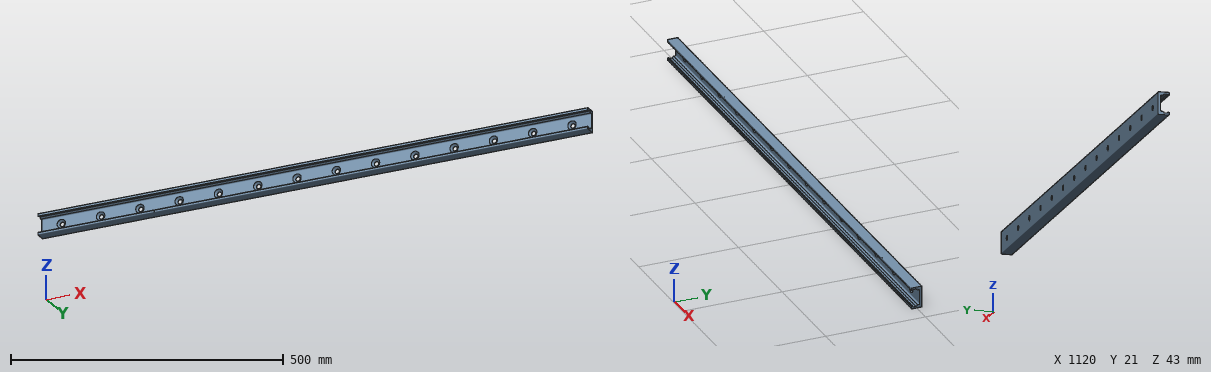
import cadquery as cq
import math

length = 1120.0
depth = 21.0
height = 43.0

web_thickness = 4.5
outer_fillet = 1.2
root_fillet = 2.0

lip_height = 5.2
lip_width = 2.0
front_slope_width = 2.1
raceway_height = 3.6
back_slope_width = 3.4
shoulder_height = 6.3
shoulder_width = 4.2

hole_diameter = 8.5
countersink_diameter = 17.0
countersink_angle = 90.0
hole_pitch = 80.0
hole_count = 14

selection_margin = 0.1

half_depth = depth / 2
half_height = height / 2
web_face = half_depth - web_thickness


def rail_body():
    """C section extruded along X, with a trapezoidal raceway inside each flange."""
    lip_z = half_height - lip_height
    raceway_z = half_height - raceway_height
    shoulder_z = half_height - shoulder_height
    raceway_front_y = -half_depth + lip_width
    raceway_back_y = web_face - shoulder_width
    upper_half = [
        (half_depth, half_height),
        (-half_depth, half_height),
        (-half_depth, lip_z),
        (raceway_front_y, lip_z),
        (raceway_front_y + front_slope_width, raceway_z),
        (raceway_back_y - back_slope_width, raceway_z),
        (raceway_back_y, shoulder_z),
        (web_face, shoulder_z),
    ]
    lower_half = [(y, -z) for y, z in reversed(upper_half)]
    section = cq.Workplane("YZ").polyline(upper_half + lower_half).close()
    body = section.extrude(length / 2, both=True)
    root_corners = cq.selectors.BoxSelector(
        (-length, web_face - selection_margin, -shoulder_z - selection_margin),
        (length, web_face + selection_margin, shoulder_z + selection_margin),
    )
    body = body.edges("|X").edges(root_corners).fillet(root_fillet)
    return body.edges("|X and (>Z or <Z)").fillet(outer_fillet)


def cut_mounting_holes(body):
    """Row of countersunk holes through the web, entered from the channel side."""
    web_plane = cq.Workplane("XZ", origin=(0, web_face, 0))
    first_x = -hole_pitch * (hole_count - 1) / 2
    centers = [(first_x + i * hole_pitch, 0) for i in range(hole_count)]
    drills = web_plane.pushPoints(centers).circle(hole_diameter / 2).extrude(-web_thickness)
    half_angle = countersink_angle / 2
    countersink_depth = (countersink_diameter - hole_diameter) / 2 / math.tan(math.radians(half_angle))
    sinks = (
        web_plane.pushPoints(centers)
        .circle(countersink_diameter / 2)
        .extrude(-countersink_depth, taper=half_angle)
    )
    return body.cut(drills).cut(sinks)


result = cut_mounting_holes(rail_body())